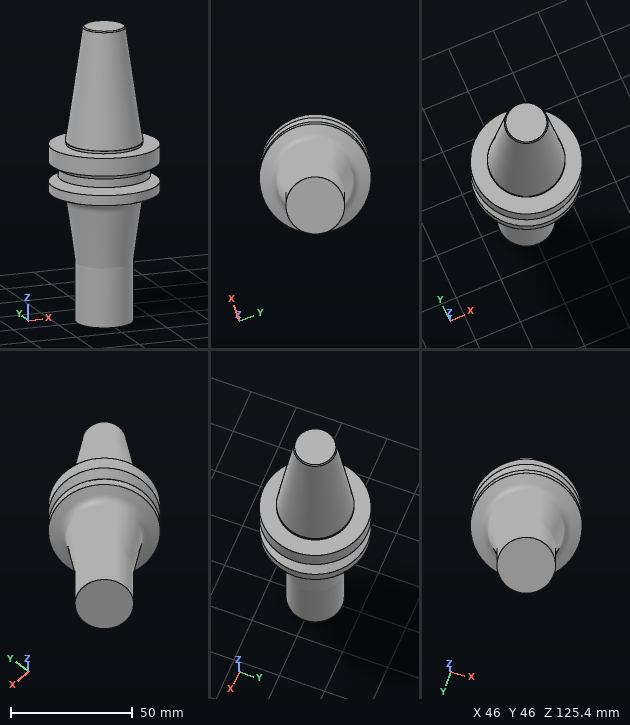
import cadquery as cq
import math

total_height = 125.4
band_top = 76.7
band_bottom = 76.4
flange_top = 75.2
groove_upper_edge = 67.7
groove_lower_edge = 59.5
flange_bottom = 55.2
fillet_end = 50.0
shank_top = 25.3

flange_radius = 46.0 / 2
groove_radius = 38.0 / 2
band_radius = 32.0 / 2
neck_radius = 31.4 / 2
nose_radius = 31.1 / 2
shank_radius = 24.1 / 2

taper_ratio = 7 / 24
tip_chamfer = 0.5
groove_wall_angle = 30.0
underside_angle = 18.0
underside_end_radius = 18.8

taper_top = total_height - tip_chamfer
taper_top_radius = band_radius - (taper_top - band_top) * taper_ratio / 2
groove_wall_height = (flange_radius - groove_radius) * math.tan(math.radians(groove_wall_angle))
underside_drop = (flange_radius - underside_end_radius) * math.tan(math.radians(underside_angle))
underside_end = (underside_end_radius, flange_bottom - underside_drop)

half_profile = (
    cq.Workplane("XZ")
    .moveTo(0, 0)
    .lineTo(shank_radius, 0)
    .lineTo(shank_radius, shank_top)
    .lineTo(nose_radius, fillet_end)
    .tangentArcPoint(underside_end, relative=False)
    .lineTo(flange_radius, flange_bottom)
    .lineTo(flange_radius, groove_lower_edge)
    .lineTo(groove_radius, groove_lower_edge + groove_wall_height)
    .lineTo(groove_radius, groove_upper_edge - groove_wall_height)
    .lineTo(flange_radius, groove_upper_edge)
    .lineTo(flange_radius, flange_top)
    .lineTo(neck_radius, flange_top)
    .lineTo(neck_radius, band_bottom)
    .lineTo(band_radius, band_bottom)
    .lineTo(band_radius, band_top)
    .lineTo(taper_top_radius, taper_top)
    .lineTo(taper_top_radius - tip_chamfer, total_height)
    .lineTo(0, total_height)
    .close()
)

result = half_profile.revolve(360, (0, 0, 0), (0, 1, 0))